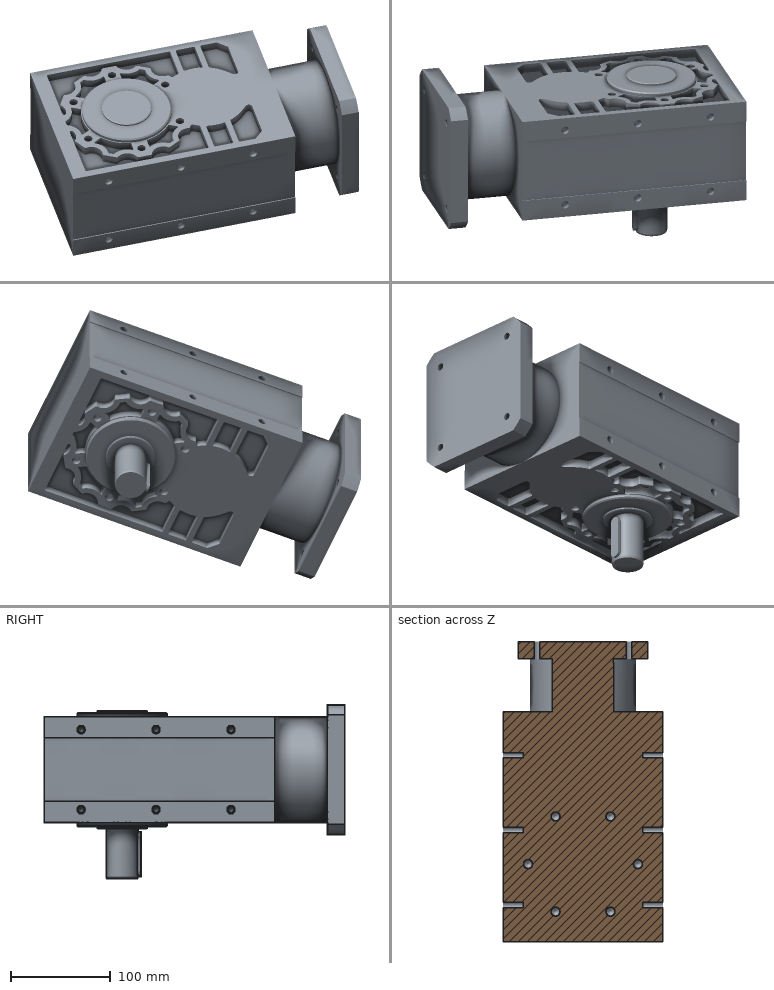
import cadquery as cq
import math


HOUSING_WIDTH = 160.0
HOUSING_HEIGHT = 106.0
HOUSING_BACK_Y = 153.0
HOUSING_FRONT_Y = -78.0
SIDE_RELIEF_HEIGHT = 63.5
SIDE_RELIEF_DEPTH = 1.0

NECK_DIAMETER = 106.0
NECK_LENGTH = 52.5
FLANGE_THICKNESS = 17.5
FLANGE_SIZE = 130.0
FLANGE_CORNER_DIAMETER = 170.0
FLANGE_BOLT_CIRCLE = 130.0
FLANGE_HOLE_DIAMETER = 7.5
FLANGE_HOLE_COUNT = 4
FLANGE_HOLE_START_ANGLE = 45.0

COVER_DIAMETER = 90.0
COVER_RISE = 4.0
COVER_CHAMFER_HEIGHT = 1.2
COVER_CHAMFER_WIDTH = 1.3
HUB_DIAMETER = 50.0
HUB_RISE = 2.0
HUB_CHAMFER_HEIGHT = 0.6
HUB_CHAMFER_WIDTH = 1.0
SHAFT_DIAMETER = 32.0
SHAFT_END_Z = -109.0
SHAFT_CHAMFER_HEIGHT = 2.0
SHAFT_CHAMFER_WIDTH = 0.6
KEY_WIDTH = 10.0
KEY_LENGTH = 45.0
KEY_TOP_Y = 19.0
KEY_END_GAP = 2.0

DRILL_POINT_ANGLE = 118.0
THREAD_HEIGHT = 0.6
SIDE_HOLE_DIAMETER = 7.8
SIDE_HOLE_DEPTH = 20.0
SIDE_HOLE_Z = 40.0
SIDE_HOLE_FIRST_Y = -41.0
SIDE_HOLE_PITCH = 75.0
SIDE_HOLE_COUNT = 3
COVER_HOLE_DIAMETER = 8.5
COVER_HOLE_DEPTH = 20.0
COVER_HOLE_CIRCLE = 110.0
COVER_HOLE_COUNT = 6

POCKET_DEPTH = 9.0
POCKET_HALF_WIDTH = 72.5
POCKET_FRONT_Y = -63.0
LOWER_POCKET_BACK_Y = 65.1
RIB_WIDTH = 5.7
MIDDLE_POCKET_LENGTH = 19.9
UPPER_POCKET_LENGTH = 26.6
UPPER_POCKET_CORNER = 9.3
UPPER_POCKET_TIP_RADIUS = 3.5
POCKET_FILLET = 1.5
POCKET_CORNER_FILLET = 0.8
POCKET_TAIL_FILLET = 1.7
WEB_CENTER_Y = 81.0
WEB_RADIUS = 42.5

LOBE_COUNT = 12
LOBE_FLAT_RADIUS = 67.0
SCALLOP_CENTER_RADIUS = 72.2
SCALLOP_RADIUS = 11.5
RING_WALL = 5.7
RING_POCKET_FLAT_RADIUS = 63.0
SPOKE_WIDTH = 16.2
BEARING_WALL_DIAMETER = 92.0
RING_POCKET_FILLET = 1.0

HALF_HEIGHT = HOUSING_HEIGHT / 2
HALF_WIDTH = HOUSING_WIDTH / 2
POCKET_FLOOR_Z = HALF_HEIGHT - POCKET_DEPTH
MIDDLE_POCKET_FRONT_Y = LOWER_POCKET_BACK_Y + RIB_WIDTH
MIDDLE_POCKET_BACK_Y = MIDDLE_POCKET_FRONT_Y + MIDDLE_POCKET_LENGTH
UPPER_POCKET_FRONT_Y = MIDDLE_POCKET_BACK_Y + RIB_WIDTH
UPPER_POCKET_BACK_Y = UPPER_POCKET_FRONT_Y + UPPER_POCKET_LENGTH


def polar(radius, angle):
    """X, Y point at a radius and an angle in degrees."""
    return (radius * math.cos(math.radians(angle)), radius * math.sin(math.radians(angle)))


def threaded_hole(start, direction, diameter, depth):
    """Blind hole cutter: thread diameter to the depth, then a narrower conical core point."""
    radius = diameter / 2
    core_radius = radius - THREAD_HEIGHT
    point_length = core_radius / math.tan(math.radians(DRILL_POINT_ANGLE / 2))
    profile = [
        (0, 0),
        (radius, 0),
        (radius, depth),
        (core_radius, depth),
        (0, depth + point_length),
    ]
    frame = cq.Plane(origin=start, normal=direction)
    cutter = cq.Workplane("XZ").polyline(profile).close().revolve(360, (0, 0, 0), (0, 1, 0))
    return cq.Workplane(obj=cutter.val().moved(cq.Location(frame)))


def mirror_x(body):
    """The body together with its mirror image in X."""
    return body.union(body.mirror("YZ"))


def pocket_plane():
    """Sketch plane on the floor of the upper pockets."""
    return cq.Workplane("XY").workplane(offset=POCKET_FLOOR_Z)


def pocket_block(front_y, back_y):
    """Rectangular pocket from the mid-line to the right-hand pocket wall."""
    length = back_y - front_y
    block = pocket_plane().center(POCKET_HALF_WIDTH / 2, front_y + length / 2)
    return block.rect(POCKET_HALF_WIDTH, length).extrude(POCKET_DEPTH)


def web_disc():
    """Round solid web between the left and right pockets."""
    return pocket_plane().center(0, WEB_CENTER_Y).circle(WEB_RADIUS).extrude(POCKET_DEPTH)


def lobed_plate(flat_radius, scallop_radius):
    """Twelve-sided plate whose corners are scooped out by round scallops."""
    half_step = 180 / LOBE_COUNT
    corner_radius = flat_radius / math.cos(math.radians(half_step))
    corner_angles = [(2 * i + 1) * half_step for i in range(LOBE_COUNT)]
    corners = [polar(corner_radius, angle) for angle in corner_angles]
    centers = [polar(SCALLOP_CENTER_RADIUS, angle) for angle in corner_angles]
    plate = pocket_plane().polyline(corners).close().extrude(POCKET_DEPTH)
    scallops = pocket_plane().pushPoints(centers).circle(scallop_radius).extrude(POCKET_DEPTH)
    return plate.cut(scallops)


def upper_pocket():
    """Pocket whose slanted inner wall runs at 45 degrees tangent to the web."""
    tangent_angle = 45
    tangent_x, tangent_y = polar(WEB_RADIUS, tangent_angle)
    slant_sum = tangent_x + WEB_CENTER_Y + tangent_y
    outline = [
        (slant_sum - UPPER_POCKET_BACK_Y, UPPER_POCKET_BACK_Y),
        (POCKET_HALF_WIDTH - UPPER_POCKET_CORNER, UPPER_POCKET_BACK_Y),
        (POCKET_HALF_WIDTH, UPPER_POCKET_BACK_Y - UPPER_POCKET_CORNER),
        (POCKET_HALF_WIDTH, UPPER_POCKET_FRONT_Y),
    ]
    front_offset = UPPER_POCKET_FRONT_Y - WEB_CENTER_Y
    front_angle = math.degrees(math.asin(front_offset / WEB_RADIUS))
    middle_x, middle_y = polar(WEB_RADIUS, (front_angle + tangent_angle) / 2)
    front_x = polar(WEB_RADIUS, front_angle)[0]
    pocket = (
        pocket_plane()
        .polyline(outline)
        .lineTo(front_x, UPPER_POCKET_FRONT_Y)
        .threePointArc(
            (middle_x, WEB_CENTER_Y + middle_y),
            (tangent_x, WEB_CENTER_Y + tangent_y),
        )
        .close()
        .extrude(POCKET_DEPTH)
    )
    pocket = pocket.edges("|Z and <X").fillet(UPPER_POCKET_TIP_RADIUS)
    return pocket.edges("|Z and <Y").fillet(POCKET_FILLET)


def middle_pocket():
    pocket = pocket_block(MIDDLE_POCKET_FRONT_Y, MIDDLE_POCKET_BACK_Y).cut(web_disc())
    return pocket.edges("|Z and <Y").fillet(POCKET_FILLET)


def lower_pocket():
    """Pocket around the lobed bolt ring."""
    pocket = pocket_block(POCKET_FRONT_Y, LOWER_POCKET_BACK_Y)
    pocket = pocket.cut(web_disc()).cut(lobed_plate(LOBE_FLAT_RADIUS, SCALLOP_RADIUS))
    pocket = pocket.edges("|Z and (not >X) and (not <X)").fillet(POCKET_FILLET)
    pocket = pocket.edges("|Z and >X").fillet(POCKET_CORNER_FILLET)
    return pocket.edges("|Z and <X").fillet(POCKET_TAIL_FILLET)


def ring_pockets():
    """Five pockets between the bearing wall and the ring; the one beside the web stays solid."""
    area = lobed_plate(RING_POCKET_FLAT_RADIUS, SCALLOP_RADIUS + RING_WALL)
    step = 360 / COVER_HOLE_COUNT
    for i in range(COVER_HOLE_COUNT):
        spoke = pocket_plane().center(LOBE_FLAT_RADIUS / 2, 0)
        spoke = spoke.rect(LOBE_FLAT_RADIUS, SPOKE_WIDTH).extrude(POCKET_DEPTH)
        area = area.cut(spoke.rotate((0, 0, 0), (0, 0, 1), i * step))
    web_side = pocket_plane().polyline(
        [(0, 0), polar(2 * LOBE_FLAT_RADIUS, step), polar(2 * LOBE_FLAT_RADIUS, 2 * step)]
    )
    area = area.cut(web_side.close().extrude(POCKET_DEPTH))
    area = area.edges("|Z").fillet(RING_POCKET_FILLET)
    return area.cut(pocket_plane().circle(BEARING_WALL_DIAMETER / 2).extrude(POCKET_DEPTH))


def cover_holes():
    holes = cq.Workplane("XY")
    for i in range(COVER_HOLE_COUNT):
        x, y = polar(COVER_HOLE_CIRCLE / 2, i * 360 / COVER_HOLE_COUNT)
        start = (x, y, HALF_HEIGHT)
        holes = holes.add(threaded_hole(start, (0, 0, -1), COVER_HOLE_DIAMETER, COVER_HOLE_DEPTH))
    return holes.combine()


def side_holes():
    holes = cq.Workplane("XY")
    for i in range(SIDE_HOLE_COUNT):
        y = SIDE_HOLE_FIRST_Y + i * SIDE_HOLE_PITCH
        start = (HALF_WIDTH, y, SIDE_HOLE_Z)
        holes = holes.add(threaded_hole(start, (-1, 0, 0), SIDE_HOLE_DIAMETER, SIDE_HOLE_DEPTH))
    return mirror_x(holes.combine())


def housing():
    """Block with relieved sides; both large faces carry the same pockets and holes."""
    length = HOUSING_BACK_Y - HOUSING_FRONT_Y
    center_y = (HOUSING_BACK_Y + HOUSING_FRONT_Y) / 2
    body = cq.Workplane("XY").box(HOUSING_WIDTH, length, HOUSING_HEIGHT).translate((0, center_y, 0))
    for side in (-1, 1):
        relief = cq.Workplane("XY").box(2 * SIDE_RELIEF_DEPTH, length, SIDE_RELIEF_HEIGHT)
        body = body.cut(relief.translate((side * HALF_WIDTH, center_y, 0)))
    cutters = [mirror_x(pocket()) for pocket in (upper_pocket, middle_pocket, lower_pocket)]
    cutters += [ring_pockets(), cover_holes(), side_holes()]
    for cutter in cutters:
        body = body.cut(cutter).cut(cutter.mirror("XY"))
    return body


def motor_flange():
    """Round neck and square flange with round-turned corners and four bolt holes."""
    neck = cq.Workplane("XZ", origin=(0, HOUSING_BACK_Y, 0))
    neck = neck.circle(NECK_DIAMETER / 2).extrude(-NECK_LENGTH)
    start = cq.Workplane("XZ", origin=(0, HOUSING_BACK_Y + NECK_LENGTH, 0))
    flange = start.rect(FLANGE_SIZE, FLANGE_SIZE).extrude(-FLANGE_THICKNESS)
    flange = flange.intersect(start.circle(FLANGE_CORNER_DIAMETER / 2).extrude(-FLANGE_THICKNESS))
    bolts = start.polarArray(FLANGE_BOLT_CIRCLE / 2, FLANGE_HOLE_START_ANGLE, 360, FLANGE_HOLE_COUNT)
    flange = flange.cut(bolts.circle(FLANGE_HOLE_DIAMETER / 2).extrude(-FLANGE_THICKNESS))
    return neck.union(flange)


def bearing_cover():
    """Chamfered cover with a smaller chamfered hub, on the upper face."""
    face = cq.Workplane("XY").workplane(offset=HALF_HEIGHT)
    cover = face.circle(COVER_DIAMETER / 2).extrude(COVER_RISE)
    cover = cover.faces(">Z").chamfer(COVER_CHAMFER_HEIGHT, COVER_CHAMFER_WIDTH)
    hub = face.circle(HUB_DIAMETER / 2).extrude(COVER_RISE + HUB_RISE)
    hub = hub.faces(">Z").chamfer(HUB_CHAMFER_HEIGHT, HUB_CHAMFER_WIDTH)
    return cover.union(hub)


def output_shaft():
    """Shaft below the housing with a round-ended key on its +Y side."""
    shaft_length = -SHAFT_END_Z - HALF_HEIGHT
    shaft = cq.Workplane("XY").workplane(offset=SHAFT_END_Z)
    shaft = shaft.circle(SHAFT_DIAMETER / 2).extrude(shaft_length)
    shaft = shaft.faces("<Z").chamfer(SHAFT_CHAMFER_HEIGHT, SHAFT_CHAMFER_WIDTH)
    key_center_z = SHAFT_END_Z + KEY_END_GAP + KEY_LENGTH / 2
    key = cq.Workplane("XZ", origin=(0, 0, key_center_z))
    key = key.slot2D(KEY_LENGTH, KEY_WIDTH, 90).extrude(-KEY_TOP_Y)
    return shaft.union(key)


cover = bearing_cover()
result = housing().union(motor_flange()).union(cover).union(cover.mirror("XY")).union(output_shaft())